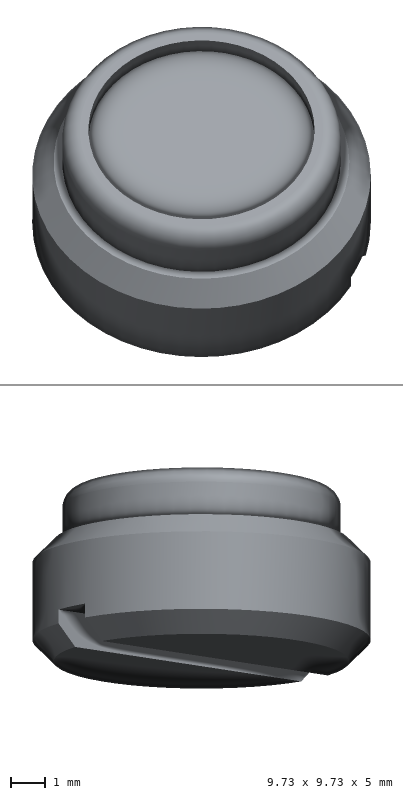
import cadquery as cq

total_height = 5.0
base_diameter = 9.73
base_height = 3.5
base_face_diameter = 8.5
slot_width = 1.2
slot_depth = 1.02
cap_diameter = 8.0
cap_edge_radius = 0.5
recess_diameter = 6.5
recess_depth = 0.5

base_chamfer = (base_diameter - base_face_diameter) / 2
cap_height = total_height - base_height


def make_base():
    """Round base, chamfered at both ends, with a slot along X across its underside."""
    body = cq.Workplane("XY").circle(base_diameter / 2).extrude(base_height)
    body = body.faces("<Z or >Z").edges().chamfer(base_chamfer)
    slot = cq.Workplane("XY").rect(base_diameter, slot_width).extrude(slot_depth)
    return body.cut(slot)


def make_cap():
    """Round cap standing on the base, with a rounded rim and a shallow recess in its top."""
    body = cq.Workplane("XY", origin=(0, 0, base_height)).circle(cap_diameter / 2).extrude(cap_height)
    body = body.faces(">Z").edges().fillet(cap_edge_radius)
    recess_floor = total_height - recess_depth
    recess = (
        cq.Workplane("XY", origin=(0, 0, recess_floor))
        .circle(recess_diameter / 2)
        .extrude(recess_depth)
    )
    return body.cut(recess)


base = make_base()
cap = make_cap()

result = cq.Compound.makeCompound([*base.solids().vals(), *cap.solids().vals()])